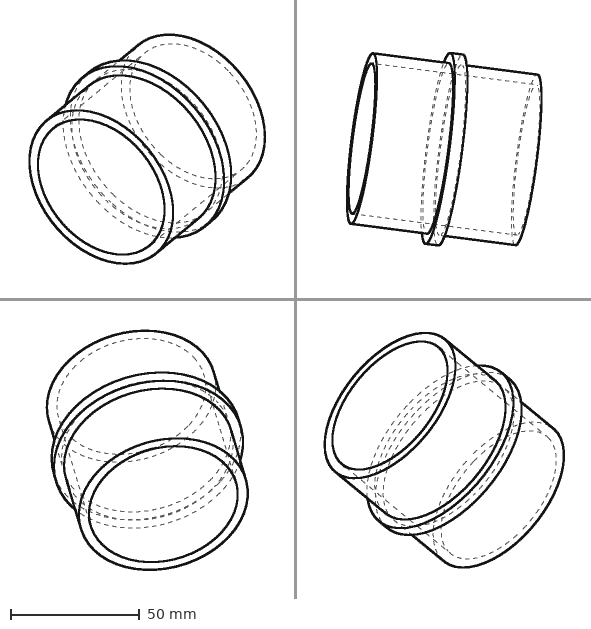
import cadquery as cq

tube_length = 65.0
tube_outer_diameter = 67.0
wall_thickness = 4.0
collar_width = 5.0
collar_height = 4.0

bore_diameter = tube_outer_diameter - 2 * wall_thickness
collar_diameter = tube_outer_diameter + 2 * collar_height


def centered_cylinder(diameter, length):
    """Solid cylinder along Y, centred on the origin."""
    start_plane = cq.Workplane("XZ", origin=(0, length / 2, 0))
    return start_plane.circle(diameter / 2).extrude(length)


tube = centered_cylinder(tube_outer_diameter, tube_length)
collar = centered_cylinder(collar_diameter, collar_width)
bore = centered_cylinder(bore_diameter, tube_length)

result = tube.union(collar).cut(bore)